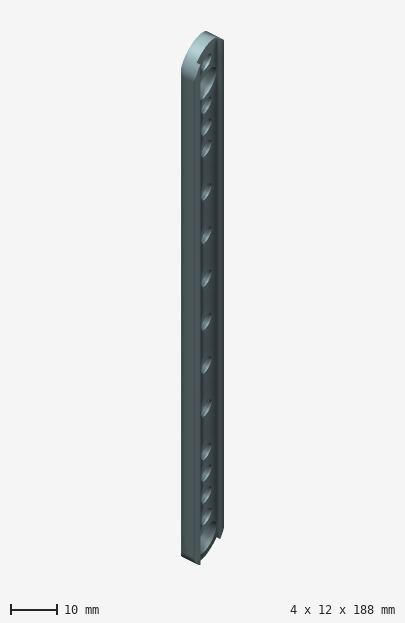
import cadquery as cq

length = 188.0
width = 12.0
thickness = 4.0
channel_width = 8.0
channel_depth = 1.0
edge_radius = 0.5
small_hole_diameter = 4.1
large_hole_diameter = 8.0
pitch_count = 22

large_stations = [0, 21]
small_stations = [1, 2, 3, 4, 6, 8, 10, 12, 14, 16, 18, 19, 20, 22]

straight_length = length - width
pitch = straight_length / pitch_count


def make_bar():
    """Bar with rounded long edges that run out into its full-round ends."""
    rounded_bar = cq.Workplane("XY").box(thickness, width, length).edges("|Z").fillet(edge_radius)
    outline = (
        cq.Workplane("YZ")
        .slot2D(length, width, 90)
        .extrude(thickness / 2, both=True)
    )
    return outline.intersect(rounded_bar)


def cut_channel(bar):
    """Shallow channel in the +X face, open at both ends."""
    channel = (
        cq.Workplane("XY")
        .box(channel_depth, channel_width, length)
        .translate(((thickness - channel_depth) / 2, 0, 0))
    )
    return bar.cut(channel)


def cut_holes(bar, stations, diameter):
    """Through holes along the centreline."""
    centres = [(0, station * pitch - straight_length / 2) for station in stations]
    holes = (
        cq.Workplane("YZ")
        .pushPoints(centres)
        .circle(diameter / 2)
        .extrude(thickness / 2, both=True)
    )
    return bar.cut(holes)


result = make_bar()
result = cut_channel(result)
result = cut_holes(result, small_stations, small_hole_diameter)
result = cut_holes(result, large_stations, large_hole_diameter)